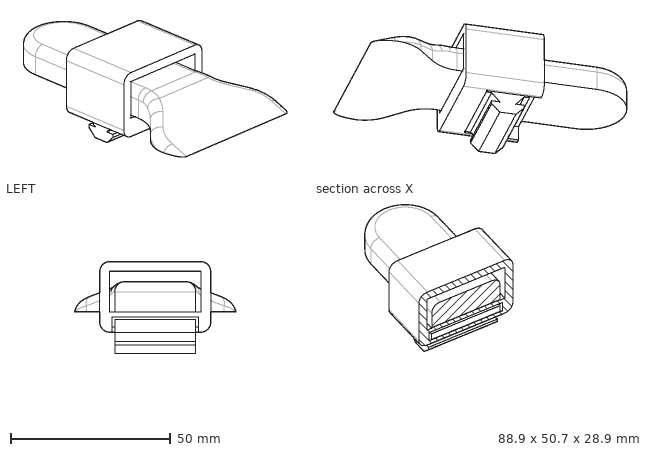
import cadquery as cq
import math

LENGTH = 88.9
HANDLE_WIDTH = 25.4
BLADE_WIDTH = 50.8
PADDLE_HEIGHT = 9.5
EDGE_ROUND = 3.2
PLAN_BEND_RADIUS = 12.7
NECK_END_X = 63.5
SLOPE_BEND_RADIUS = 12.7

SLEEVE_START_X = 31.1
SLEEVE_LENGTH = 25.4
SLEEVE_WIDTH = 34.9
SLEEVE_TOP_Z = 15.8
SLEEVE_BOTTOM_Z = -6.4
SLEEVE_WALL = 3.1
SLEEVE_CORNER_RADIUS = 3.2

FOOT_CENTER_X = 41.7
FOOT_LENGTH = 10.6
FOOT_HEAD_LENGTH = 14.05
FOOT_WIDTH = 25.4
FOOT_TOP_Z = -2.4
FOOT_BOTTOM_Z = -13.1
FOOT_BEVEL = 2.7
FOOT_NOTCH_HEIGHT = 2.9
SLOT_CLEARANCE = 0.8
SLOT_STEP_Z = -4.8

OVERRUN = 10.7


def make_paddle():
    handle_half = HANDLE_WIDTH / 2
    blade_half = BLADE_WIDTH / 2
    end_x = LENGTH + OVERRUN

    flare_end_x = NECK_END_X + blade_half - handle_half
    plan = (
        cq.Workplane("XY", origin=(0, 0, -OVERRUN))
        .moveTo(handle_half, handle_half)
        .threePointArc((0, 0), (handle_half, -handle_half))
        .lineTo(NECK_END_X, -handle_half)
        .lineTo(flare_end_x, -blade_half)
        .lineTo(end_x, -blade_half)
        .lineTo(end_x, blade_half)
        .lineTo(flare_end_x, blade_half)
        .lineTo(NECK_END_X, handle_half)
        .close()
        .extrude(OVERRUN + PADDLE_HEIGHT)
    )
    for bend_x in (NECK_END_X, flare_end_x):
        bend_edges = cq.selectors.BoxSelector(
            (bend_x - 0.9, -BLADE_WIDTH, -OVERRUN),
            (bend_x + 0.9, BLADE_WIDTH, PADDLE_HEIGHT),
        )
        plan = plan.edges("|Z").edges(bend_edges).fillet(PLAN_BEND_RADIUS)

    slope = PADDLE_HEIGHT / (LENGTH - NECK_END_X)
    slope_angle = math.atan(slope)
    bend_reach = SLOPE_BEND_RADIUS * math.tan(slope_angle / 2)
    profile = (
        cq.Workplane("XZ", origin=(0, BLADE_WIDTH, 0))
        .moveTo(-OVERRUN, -OVERRUN)
        .lineTo(-OVERRUN, PADDLE_HEIGHT)
        .lineTo(NECK_END_X - bend_reach, PADDLE_HEIGHT)
        .tangentArcPoint(
            (
                NECK_END_X + bend_reach * math.cos(slope_angle),
                PADDLE_HEIGHT - bend_reach * math.sin(slope_angle),
            ),
            relative=False,
        )
        .lineTo(end_x, -slope * OVERRUN)
        .lineTo(end_x, -OVERRUN)
        .close()
        .extrude(2 * BLADE_WIDTH)
    )
    body = plan.intersect(profile)

    rim = body.edges("not(|Z or |Y or <Z)")
    body = rim.fillet(EDGE_ROUND)
    above_base = cq.Workplane("XY").box(3 * LENGTH, 3 * LENGTH, LENGTH, centered=(True, True, False))
    return body.intersect(above_base)


def make_foot():
    head_half = FOOT_HEAD_LENGTH / 2
    jaw_half = FOOT_LENGTH / 2
    waist_half = jaw_half - FOOT_BEVEL
    waist_z = SLEEVE_BOTTOM_Z - FOOT_NOTCH_HEIGHT
    half_profile = [
        (head_half, FOOT_TOP_Z),
        (head_half, SLEEVE_BOTTOM_Z),
        (jaw_half, SLEEVE_BOTTOM_Z),
        (waist_half, waist_z),
        (jaw_half, waist_z),
        (jaw_half, FOOT_BOTTOM_Z + FOOT_BEVEL),
        (waist_half, FOOT_BOTTOM_Z),
    ]
    mirrored_half = [(-x, z) for x, z in reversed(half_profile)]
    return (
        cq.Workplane("XZ", origin=(FOOT_CENTER_X, FOOT_WIDTH / 2, 0))
        .polyline(half_profile + mirrored_half)
        .close()
        .extrude(FOOT_WIDTH)
    )


def block_from_sleeve_front(end_x, width, bottom_z, top_z):
    """A block centred on Y that starts at the sleeve's -X face."""
    return cq.Workplane("XY", origin=(SLEEVE_START_X, 0, bottom_z)).box(
        end_x - SLEEVE_START_X, width, top_z - bottom_z, centered=(False, True, False)
    )


def make_sleeve():
    end_x = SLEEVE_START_X + SLEEVE_LENGTH
    tube = block_from_sleeve_front(end_x, SLEEVE_WIDTH, SLEEVE_BOTTOM_Z, SLEEVE_TOP_Z)
    tube = tube.edges("|X").fillet(SLEEVE_CORNER_RADIUS)
    bore = block_from_sleeve_front(end_x, SLEEVE_WIDTH - 2 * SLEEVE_WALL, 0, SLEEVE_TOP_Z - SLEEVE_WALL)

    head_end_x = FOOT_CENTER_X + FOOT_HEAD_LENGTH / 2
    upper_end_x = head_end_x + SLOT_CLEARANCE
    slot_width = FOOT_WIDTH + 2 * SLOT_CLEARANCE
    slot_top_z = FOOT_TOP_Z + SLOT_CLEARANCE
    lower_slot = block_from_sleeve_front(head_end_x, slot_width, SLEEVE_BOTTOM_Z, SLOT_STEP_Z)
    upper_slot = block_from_sleeve_front(upper_end_x, slot_width, SLOT_STEP_Z, slot_top_z)
    return tube.cut(bore).cut(lower_slot).cut(upper_slot)


paddle = make_paddle()
sleeve = make_sleeve()
foot = make_foot()

result = cq.Compound.makeCompound([paddle.val(), sleeve.val(), foot.val()])